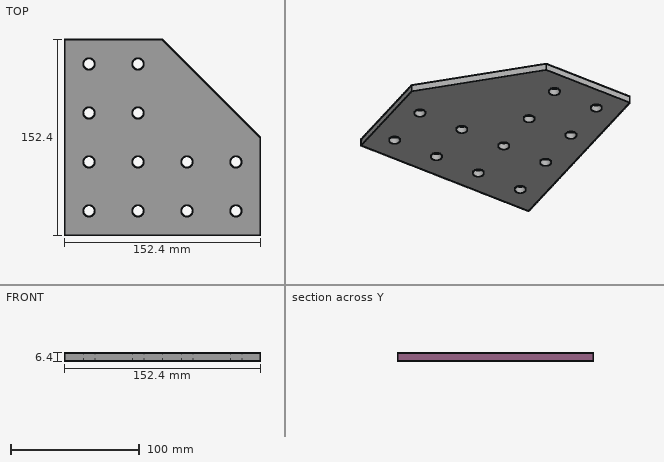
import cadquery as cq

side = 152.4
thickness = 6.4
hole_diameter = 8.7
holes_per_side = 4

pitch = side / holes_per_side
edge_offset = pitch / 2
arm_width = side / 2


def plate():
    """Square plate with its +X +Y corner cut off between the side midpoints."""
    outline = [(0, 0), (side, 0), (side, arm_width), (arm_width, side), (0, side)]
    return cq.Workplane("XY").polyline(outline).close().extrude(thickness)


def hole_centres():
    """Grid positions that lie on either arm of the L, leaving the cut corner plain."""
    grid = [edge_offset + i * pitch for i in range(holes_per_side)]
    return [(x, y) for x in grid for y in grid if x < arm_width or y < arm_width]


hole_cutters = (
    cq.Workplane("XY").pushPoints(hole_centres()).circle(hole_diameter / 2).extrude(thickness)
)
result = plate().cut(hole_cutters)